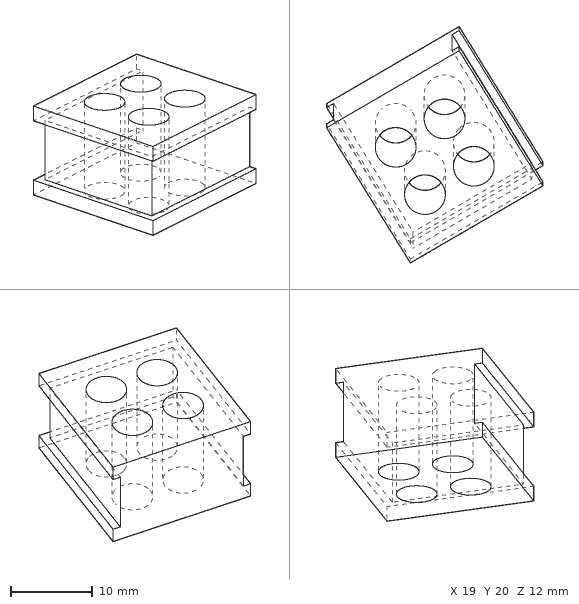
import cadquery as cq

width = 19.0
depth = 20.0
height = 12.0
flange_thickness = 2.0
flange_overhang = 1.0
hole_diameter = 5.0
hole_spacing = 7.0

core_width = width - 2 * flange_overhang
core_depth = depth - flange_overhang
core_height = height - 2 * flange_thickness


def flange(bottom_z):
    """Full-size rectangular plate whose underside is at bottom_z."""
    plate = cq.Workplane("XY").box(width, depth, flange_thickness, centered=(True, True, False))
    return plate.translate((0, 0, bottom_z))


core = (
    cq.Workplane("XY")
    .box(core_width, core_depth, core_height, centered=(True, True, False))
    .translate((0, flange_overhang / 2, flange_thickness))
)

holes = (
    cq.Workplane("XY")
    .rarray(hole_spacing, hole_spacing, 2, 2)
    .circle(hole_diameter / 2)
    .extrude(height)
)

body = core.union(flange(0)).union(flange(height - flange_thickness))
result = body.cut(holes)